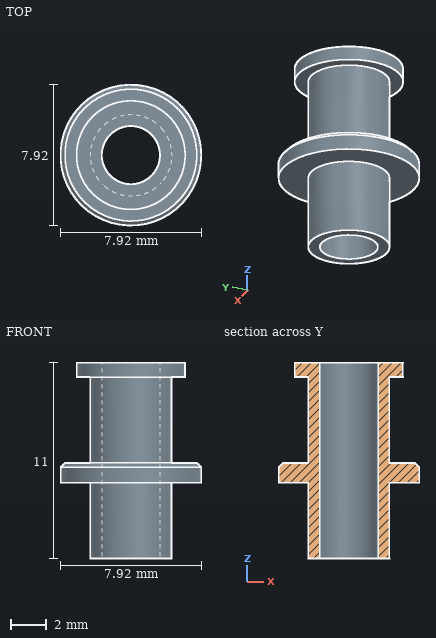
import cadquery as cq

length = 11.0
bore_diameter = 3.26
tube_diameter = 4.58

flange_diameter = 6.1
flange_thickness = 0.81

collar_diameter = 7.92
collar_bottom = 4.25
collar_thickness = 1.13
collar_chamfer = 0.25


def disc(diameter, thickness, bottom):
    """Cylinder on the Z axis with its lower face at the given height."""
    return cq.Workplane("XY").workplane(offset=bottom).circle(diameter / 2).extrude(thickness)


tube = disc(tube_diameter, length, 0)
flange = disc(flange_diameter, flange_thickness, length - flange_thickness)
collar = disc(collar_diameter, collar_thickness, collar_bottom).faces(">Z").edges().chamfer(collar_chamfer)
bore = disc(bore_diameter, length, 0)

result = tube.union(flange).union(collar).cut(bore)